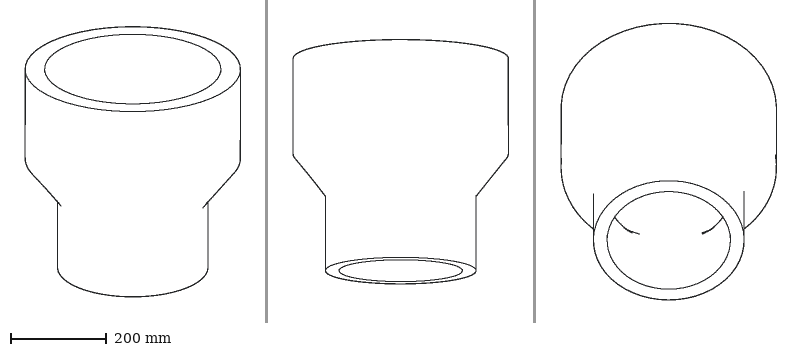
import cadquery as cq

height = 450.0
wide_radius = height / 2
wide_wall = 41.0
wide_length = 204.0
narrow_radius = 157.5
narrow_wall = 29.0
narrow_length = 159.8
blend_radius = 4.5

cone_top = height - wide_length
wide_bore_radius = wide_radius - wide_wall
narrow_bore_radius = narrow_radius - narrow_wall


def stepped_solid(lower_radius, upper_radius):
    """Solid of revolution about Z: lower cylinder, cone, upper cylinder."""
    profile = (
        cq.Workplane("XZ")
        .lineTo(lower_radius, 0)
        .lineTo(lower_radius, narrow_length)
        .lineTo(upper_radius, cone_top)
        .lineTo(upper_radius, height)
        .lineTo(0, height)
        .close()
    )
    return profile.revolve(360, (0, 0, 0), (0, 1, 0))


outer_body = stepped_solid(narrow_radius, wide_radius)
bore = stepped_solid(narrow_bore_radius, wide_bore_radius)

reducer = outer_body.cut(bore)

result = reducer.edges("%CIRCLE").edges("not(<Z or >Z)").fillet(blend_radius)